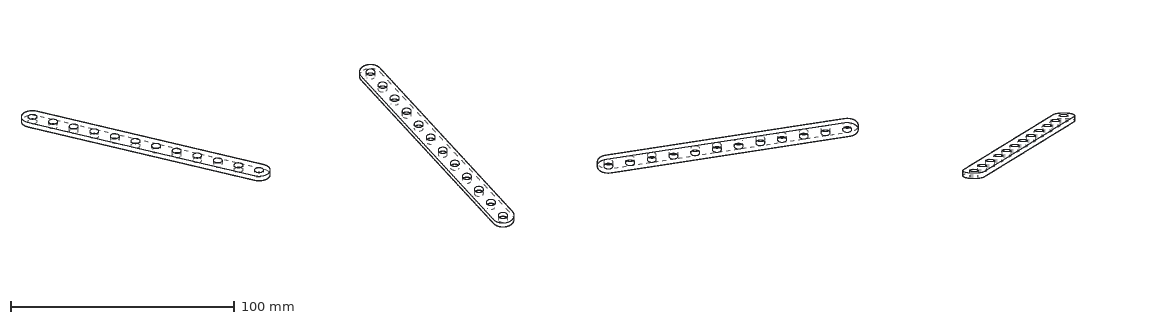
import cadquery as cq

hole_count = 12
hole_pitch = 10.0
bar_width = 10.0
bar_thickness = 2.5
hole_diameter = 4.0

end_hole_spacing = (hole_count - 1) * hole_pitch
bar_length = end_hole_spacing + bar_width


def make_bar():
    """Flat bar with fully rounded ends, lying on the XY plane."""
    return cq.Workplane("XY").slot2D(bar_length, bar_width).extrude(bar_thickness)


def drill_hole_row(bar):
    """Evenly spaced through holes along the centre line of the bar."""
    first_hole_x = -end_hole_spacing / 2
    hole_centers = [(first_hole_x + i * hole_pitch, 0) for i in range(hole_count)]
    return bar.faces(">Z").workplane().pushPoints(hole_centers).hole(hole_diameter)


result = drill_hole_row(make_bar())